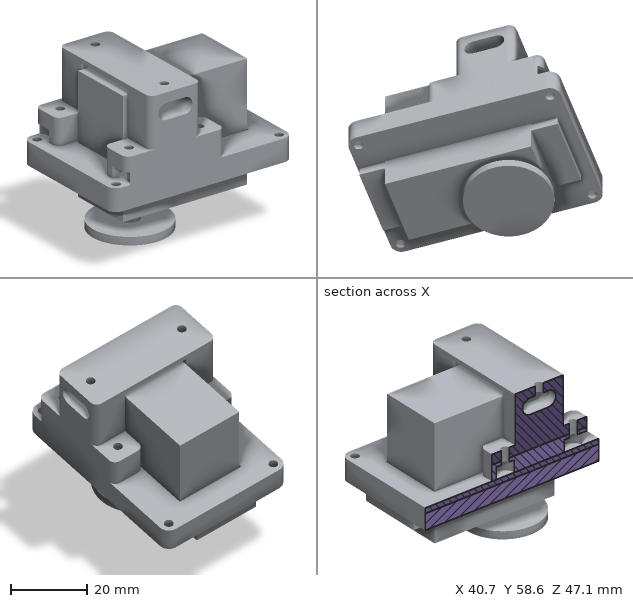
import cadquery as cq


PLATE_WIDTH = 40.7
PLATE_LENGTH = 58.6
PLATE_CORNER_RADIUS = 3.0
BASE_THICKNESS = 5.3
COVER_THICKNESS = 1.65
PLATE_TOP = BASE_THICKNESS + COVER_THICKNESS
SCREW_DIAMETER = 2.6
PLATE_SCREW_INSET = 2.75
PLATE_SCREW_X = PLATE_WIDTH / 2 - PLATE_SCREW_INSET
PLATE_SCREW_Y = PLATE_LENGTH / 2 - PLATE_SCREW_INSET

SERVO_WIDTH = 19.9
SERVO_LENGTH = 40.5
SERVO_CENTER_Y = 1.5
SERVO_RISE = 20.5
SERVO_DROP = 9.0
EAR_SPAN = 54.85
EAR_CENTER_Y = 1.45
EAR_THICKNESS = 2.45
SHAFT_DIAMETER = 5.8
SHAFT_LENGTH = 5.05
HORN_DIAMETER = 24.0
HORN_THICKNESS = 2.45

SERVO_CLEARANCE = 0.35
OPENING_WIDTH = SERVO_WIDTH + 2 * SERVO_CLEARANCE
OPENING_LENGTH = SERVO_LENGTH + 2 * SERVO_CLEARANCE

SUPPORT_CORNER_RADIUS = 2.0
RISER_WIDTH = (PLATE_WIDTH - OPENING_WIDTH) / 2
RISER_LENGTH = 32.05
RISER_FRONT_INSET = 4.1
SUPPORT_CENTER_Y = -PLATE_LENGTH / 2 + RISER_FRONT_INSET + RISER_LENGTH / 2
RISER_HEIGHT = 5.05
RISER_CENTER_X = (PLATE_WIDTH - RISER_WIDTH) / 2
RISER_TOP = PLATE_TOP + RISER_HEIGHT
SUPPORT_SCREW_SPACING = 11.5
FRONT_SCREW_Y = SUPPORT_CENTER_Y - SUPPORT_SCREW_SPACING
REAR_SCREW_Y = SUPPORT_CENTER_Y + SUPPORT_SCREW_SPACING
RECESS_HEIGHT = 3.65
PLATE_SCREW_CLEARANCE_DIAMETER = 7.5
RISER_COUNTERBORE_DIAMETER = 6.0

FOOT_THICKNESS = 3.1
BRIDGE_LENGTH = 16.5
BRIDGE_HEIGHT = 18.6
BRIDGE_TOP = RISER_TOP + BRIDGE_HEIGHT
ROOF_THICKNESS = 1.45
SLOT_LENGTH = 11.1
SLOT_HEIGHT = 4.9
SLOT_DEPTH_BELOW_TOP = 5.5
SLOT_Z = BRIDGE_TOP - SLOT_DEPTH_BELOW_TOP

SIDES = (-1, 1)


def block(width, length, bottom, top, center_x=0.0, center_y=0.0):
    """Upright box given by its plan size, its plan centre and its two levels."""
    return (
        cq.Workplane("XY", origin=(center_x, center_y, bottom))
        .rect(width, length)
        .extrude(top - bottom)
    )


def cylinders(points, diameter, bottom, top):
    """Upright cylinders of one diameter at the given plan points."""
    return (
        cq.Workplane("XY", origin=(0, 0, bottom))
        .pushPoints(points)
        .circle(diameter / 2)
        .extrude(top - bottom)
    )


def make_plate(bottom, thickness):
    """Rounded plate with the servo opening and a screw hole in each corner."""
    top = bottom + thickness
    plate = block(PLATE_WIDTH, PLATE_LENGTH, bottom, top).edges("|Z").fillet(PLATE_CORNER_RADIUS)
    opening = block(OPENING_WIDTH, OPENING_LENGTH, bottom, top, center_y=SERVO_CENTER_Y)
    screw_points = [(x * PLATE_SCREW_X, y * PLATE_SCREW_Y) for x in SIDES for y in SIDES]
    return plate.cut(opening).cut(cylinders(screw_points, SCREW_DIAMETER, bottom, top))


def make_servo():
    """Servo case with its two ears, and an output shaft and round horn below the bridge middle."""
    case = block(SERVO_WIDTH, SERVO_LENGTH, -SERVO_DROP, PLATE_TOP + SERVO_RISE, center_y=SERVO_CENTER_Y)
    ears = block(SERVO_WIDTH, EAR_SPAN, -EAR_THICKNESS, 0, center_y=EAR_CENTER_Y)
    shaft_axis = [(0, SUPPORT_CENTER_Y)]
    horn_top = -SERVO_DROP - SHAFT_LENGTH
    shaft = cylinders(shaft_axis, SHAFT_DIAMETER, horn_top, -SERVO_DROP)
    horn = cylinders(shaft_axis, HORN_DIAMETER, horn_top - HORN_THICKNESS, horn_top)
    return case.union(ears).union(shaft).union(horn)


def make_foot(side, bottom, top):
    """Rounded block beside the opening, with a screw hole near each end."""
    center_x = side * RISER_CENTER_X
    foot = block(RISER_WIDTH, RISER_LENGTH, bottom, top, center_x, SUPPORT_CENTER_Y)
    foot = foot.edges("|Z").fillet(SUPPORT_CORNER_RADIUS)
    screw_points = [(center_x, FRONT_SCREW_Y), (center_x, REAR_SCREW_Y)]
    return foot.cut(cylinders(screw_points, SCREW_DIAMETER, bottom, top))


def make_riser(side):
    """Foot-shaped spacer, relieved underneath around the screws."""
    riser = make_foot(side, PLATE_TOP, RISER_TOP)
    recess_top = PLATE_TOP + RECESS_HEIGHT
    corner_point = [(side * PLATE_SCREW_X, -PLATE_SCREW_Y)]
    screw_points = [(side * RISER_CENTER_X, y) for y in (FRONT_SCREW_Y, REAR_SCREW_Y)]
    corner_clearance = cylinders(corner_point, PLATE_SCREW_CLEARANCE_DIAMETER, PLATE_TOP, recess_top)
    counterbores = cylinders(screw_points, RISER_COUNTERBORE_DIAMETER, PLATE_TOP, recess_top)
    return riser.cut(corner_clearance).cut(counterbores)


def make_bridge():
    """Arch over the servo, standing on two feet, with a slot through both legs."""
    arch = block(PLATE_WIDTH, BRIDGE_LENGTH, RISER_TOP, BRIDGE_TOP, center_y=SUPPORT_CENTER_Y)
    arch = arch.edges("|Z").fillet(SUPPORT_CORNER_RADIUS)
    passage_top = BRIDGE_TOP - ROOF_THICKNESS
    passage = block(OPENING_WIDTH, BRIDGE_LENGTH, RISER_TOP, passage_top, center_y=SUPPORT_CENTER_Y)
    bridge = arch.cut(passage)
    for side in SIDES:
        bridge = bridge.union(make_foot(side, RISER_TOP, RISER_TOP + FOOT_THICKNESS))

    slot = (
        cq.Workplane("YZ", origin=(0, SUPPORT_CENTER_Y, SLOT_Z))
        .slot2D(SLOT_LENGTH, SLOT_HEIGHT)
        .extrude(PLATE_WIDTH / 2, both=True)
    )
    top_screw_points = [(side * RISER_CENTER_X, SUPPORT_CENTER_Y) for side in SIDES]
    top_screw_holes = cylinders(top_screw_points, SCREW_DIAMETER, SLOT_Z, BRIDGE_TOP)
    return bridge.cut(slot).cut(top_screw_holes)


base_plate = make_plate(0, BASE_THICKNESS)
cover_plate = make_plate(BASE_THICKNESS, COVER_THICKNESS)
servo = make_servo()
risers = [make_riser(side) for side in SIDES]
bridge = make_bridge()

result = cq.Compound.makeCompound(
    [
        base_plate.val(),
        cover_plate.val(),
        servo.val(),
        *[riser.val() for riser in risers],
        bridge.val(),
    ]
)